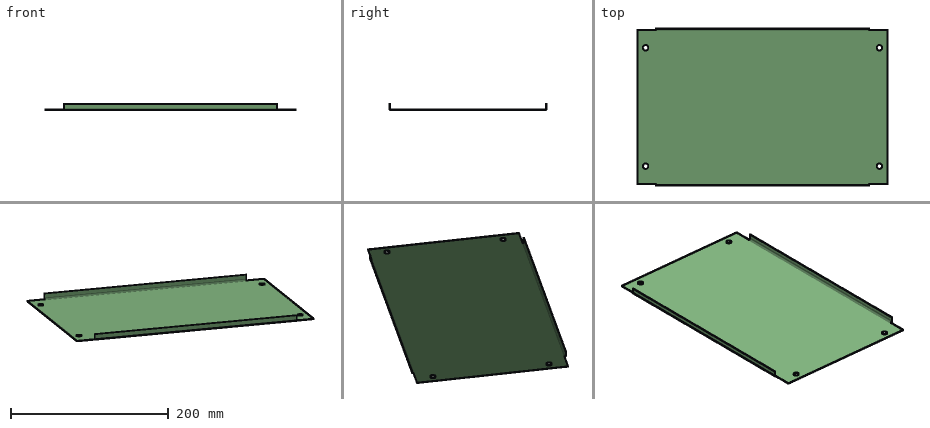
import cadquery as cq

LENGTH = 317.0
WIDTH = 199.0
HEIGHT = 8.0

THICKNESS = 1.0
INNER_BEND_RADIUS = 1.0
OUTER_BEND_RADIUS = INNER_BEND_RADIUS + THICKNESS
FLANGE_LENGTH = 270.0

HOLE_DIAMETER = 6.5
HOLE_SPACING_X = 296.0
HOLE_SPACING_Y = 150.0

PANEL_WIDTH = WIDTH - 2 * OUTER_BEND_RADIUS


def make_panel():
    """Flat rectangular sheet with its underside at Z = 0."""
    return cq.Workplane("XY").box(LENGTH, PANEL_WIDTH, THICKNESS, centered=(True, True, False))


def make_flange():
    """Bent-up lip along the +Y edge, including its rounded bend."""
    bend_start = PANEL_WIDTH / 2
    outer_face = WIDTH / 2
    inner_face = outer_face - THICKNESS
    return (
        cq.Workplane("YZ")
        .moveTo(bend_start, 0)
        .radiusArc((outer_face, OUTER_BEND_RADIUS), -OUTER_BEND_RADIUS)
        .lineTo(outer_face, HEIGHT)
        .lineTo(inner_face, HEIGHT)
        .lineTo(inner_face, OUTER_BEND_RADIUS)
        .radiusArc((bend_start, THICKNESS), INNER_BEND_RADIUS)
        .close()
        .extrude(FLANGE_LENGTH / 2, both=True)
    )


def make_holes():
    """Four through-hole cutters, one near each panel corner."""
    return (
        cq.Workplane("XY")
        .rect(HOLE_SPACING_X, HOLE_SPACING_Y, forConstruction=True)
        .vertices()
        .circle(HOLE_DIAMETER / 2)
        .extrude(THICKNESS)
    )


flange = make_flange()
result = make_panel().union(flange).union(flange.mirror("XZ")).cut(make_holes())